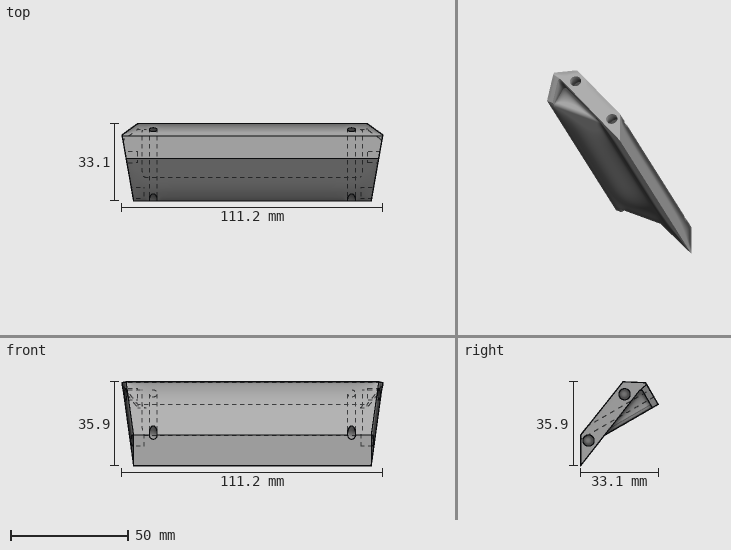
import cadquery as cq
import math

OVERALL_LENGTH = 111.17
OVERALL_DEPTH = 33.12
OVERALL_HEIGHT = 35.92

FRONT_FACE_HEIGHT = 13.15
RIDGE_Y = 18.1
BACK_EDGE_Y = 27.75
BACK_EDGE_DROP = 0.4
BACK_EDGE_Z = OVERALL_HEIGHT - BACK_EDGE_DROP
END_ANGLE = 10.0

TILT = 30.0
FLANGE_THICKNESS = 2.9
FLANGE_END_ANGLE = 34.5
FLANGE_LOW_HALF_LENGTH = 48.9
FLANGE_ROOT_RADIUS = 1.0
BLOCK_HALF_LENGTH = 47.0
BLOCK_EDGE_RADIUS = 1.5

SCREW_DIAMETER = 3.4
SCREW_X = 42.3
END_HOLE_DIAMETER = 4.8
END_HOLE_DEPTH = 5.0
END_HOLE_CENTRES = [(3.4, 10.8), (18.75, 30.55)]

SIN_TILT = math.sin(math.radians(TILT))
COS_TILT = math.cos(math.radians(TILT))
TAN_END = math.tan(math.radians(END_ANGLE))
HALF_LENGTH = OVERALL_LENGTH / 2
FRONT_HALF_LENGTH = HALF_LENGTH - BACK_EDGE_Y * TAN_END

BACK_FACE_HEIGHT = (OVERALL_DEPTH - BACK_EDGE_Y) / SIN_TILT
LOW_EDGE_Z = BACK_EDGE_Z - BACK_FACE_HEIGHT * COS_TILT

UNDERSIDE_SLOPE = BACK_EDGE_Z / BACK_EDGE_Y

BOTTOM_SLOPE = SIN_TILT / COS_TILT
INNER_EDGE_Y = (LOW_EDGE_Z - OVERALL_DEPTH * BOTTOM_SLOPE) / (UNDERSIDE_SLOPE - BOTTOM_SLOPE)
INNER_EDGE_Z = INNER_EDGE_Y * UNDERSIDE_SLOPE


def along_x(points, half_length):
    """Prism of a YZ outline, centred on X = 0."""
    return cq.Workplane("YZ").polyline(points).close().extrude(half_length, both=True)


def tilted_plane(along_back_face):
    """Plane in the back face, local X along the part and local Y up the face, normal facing out.

    The origin lies the given distance above the rearmost edge.
    """
    origin = (
        0,
        OVERALL_DEPTH - along_back_face * SIN_TILT,
        LOW_EDGE_Z + along_back_face * COS_TILT,
    )
    return cq.Plane(origin=origin, xDir=(-1, 0, 0), normal=(0, COS_TILT, SIN_TILT))


def end_trim():
    """Vertical-sided trapezium that bounds the part in plan."""
    rear_half_length = FRONT_HALF_LENGTH + OVERALL_DEPTH * TAN_END
    return (
        cq.Workplane("XY")
        .polyline([
            (-FRONT_HALF_LENGTH, 0),
            (FRONT_HALF_LENGTH, 0),
            (rear_half_length, OVERALL_DEPTH),
            (-rear_half_length, OVERALL_DEPTH),
        ])
        .close()
        .extrude(OVERALL_HEIGHT)
    )


def sloping_bar():
    """Full-length bar with the flat front face and the ridge."""
    section = [
        (0, 0),
        (0, FRONT_FACE_HEIGHT),
        (RIDGE_Y, OVERALL_HEIGHT),
        (BACK_EDGE_Y, BACK_EDGE_Z),
    ]
    return along_x(section, HALF_LENGTH)


def flange():
    """Tapering plate along the back face, with a rounded root under the bar."""
    corner_angle = math.pi / 2 + math.radians(TILT) - math.atan(UNDERSIDE_SLOPE)
    inset_y = FLANGE_THICKNESS / math.sin(corner_angle) / math.hypot(1, UNDERSIDE_SLOPE)
    root_y = BACK_EDGE_Y - inset_y
    root_z = root_y * UNDERSIDE_SLOPE
    section = [
        (BACK_EDGE_Y, BACK_EDGE_Z),
        (OVERALL_DEPTH, LOW_EDGE_Z),
        (OVERALL_DEPTH - FLANGE_THICKNESS * COS_TILT, LOW_EDGE_Z - FLANGE_THICKNESS * SIN_TILT),
        (root_y, root_z),
    ]
    plate = along_x(section, HALF_LENGTH)

    centre_distance = FLANGE_ROOT_RADIUS / math.sin(corner_angle / 2)
    tangent_length = FLANGE_ROOT_RADIUS / math.tan(corner_angle / 2)
    under_angle = math.atan(UNDERSIDE_SLOPE) + math.pi
    plate_angle = under_angle + corner_angle
    middle_angle = under_angle + corner_angle / 2

    def from_root(distance, angle):
        return (root_y + distance * math.cos(angle), root_z + distance * math.sin(angle))

    root_fill = (
        cq.Workplane("YZ")
        .moveTo(root_y, root_z)
        .lineTo(*from_root(tangent_length, under_angle))
        .threePointArc(
            from_root(centre_distance - FLANGE_ROOT_RADIUS, middle_angle),
            from_root(tangent_length, plate_angle),
        )
        .close()
        .extrude(HALF_LENGTH, both=True)
    )

    flange_end_slope = math.tan(math.radians(FLANGE_END_ANGLE))
    top_half_length = FLANGE_LOW_HALF_LENGTH + BACK_FACE_HEIGHT * flange_end_slope
    taper = (
        cq.Workplane(tilted_plane(0))
        .polyline([
            (-FLANGE_LOW_HALF_LENGTH, 0),
            (FLANGE_LOW_HALF_LENGTH, 0),
            (top_half_length, BACK_FACE_HEIGHT),
            (-top_half_length, BACK_FACE_HEIGHT),
        ])
        .close()
        .extrude(-OVERALL_DEPTH)
    )
    return plate.union(root_fill).intersect(taper)


def block():
    """Solid wedge behind the flange, the end edges of its bottom face rounded."""
    section = [
        (BACK_EDGE_Y, BACK_EDGE_Z),
        (OVERALL_DEPTH, LOW_EDGE_Z),
        (INNER_EDGE_Y, INNER_EDGE_Z),
    ]
    wedge = along_x(section, BLOCK_HALF_LENGTH)
    bottom_end_edges = wedge.faces("<Z").edges("<X or >X")
    return bottom_end_edges.fillet(BLOCK_EDGE_RADIUS)


def screw_holes():
    """Two holes through flange, block and bar, centred on the back face."""
    return (
        cq.Workplane(tilted_plane(BACK_FACE_HEIGHT / 2))
        .pushPoints([(-SCREW_X, 0), (SCREW_X, 0)])
        .circle(SCREW_DIAMETER / 2)
        .extrude(-2 * OVERALL_DEPTH)
    )


def end_hole(y, z, side):
    """Flat-bottomed hole along X in the end on the given side (-1 or 1)."""
    bottom_x = FRONT_HALF_LENGTH + y * TAN_END - END_HOLE_DEPTH
    return (
        cq.Workplane("YZ", origin=(side * bottom_x, 0, 0))
        .center(y, z)
        .circle(END_HOLE_DIAMETER / 2)
        .extrude(side * HALF_LENGTH)
    )


result = sloping_bar().union(flange()).union(block()).intersect(end_trim()).cut(screw_holes())
for side in (-1, 1):
    for hole_y, hole_z in END_HOLE_CENTRES:
        result = result.cut(end_hole(hole_y, hole_z, side))